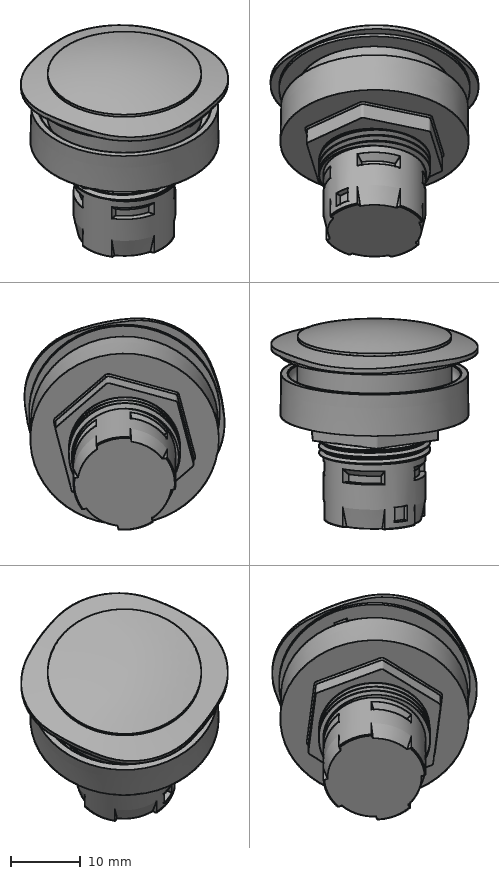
import cadquery as cq
import math

TOTAL_HEIGHT = 28.34
CAP_RIM_TOP_Z = 26.88
CAP_RIM_BOTTOM_Z = 26.48
BEZEL_CONE_TOP_Z = 26.37
BEZEL_EDGE_BOTTOM_Z = 24.85
BEZEL_DISC_BOTTOM_Z = 24.38
RING_TOP_Z = 21.35
RING_SEAM_Z = 19.36
RING_BOTTOM_Z = 15.3
HEX_BOTTOM_Z = 12.7
THREAD_BOTTOM_Z = 9.74

CAP_RADIUS = 22.05 / 2
CAP_STEM_RADIUS = 20.62 / 2

BEZEL_HALF_WIDTH = 28.0 / 2
BEZEL_SIDE_RADIUS = 30.0
BEZEL_CORNER_RADIUS = 11.0
BEZEL_CONE_ANGLE = 10.5
BEZEL_DISC_RADIUS = 27.4 / 2

NECK_RADIUS = 22.2 / 2
TAB_REACH = 12.1
TAB_WIDTH = 2.0
TAB_TOP_Z = 24.13
TAB_BOTTOM_Z = 22.64
RING_RADIUS = 26.86 / 2
RING_BASE_RADIUS = 27.06 / 2
RING_BORE_RADIUS = 25.0 / 2
RING_BORE_CHAMFER = 0.12
RING_GAP_DEPTH = 1.85
RING_GAP_FILLET = 1.15

HEX_ACROSS_FLATS = 18.0
HEX_CORNER_RADIUS = 0.5
HEX_FLARE = 0.25

BARREL_RADIUS = 14.7 / 2
BARREL_CHAMFER = 0.15
THREAD_RADIUS = 16.0 / 2
THREAD_PITCH = 1.0
THREAD_CREST = 0.125
THREAD_ROOT_WIDTH = 0.875
THREAD_CREST_Z = 10.5
THREAD_OVERLAP = 0.05
THREAD_CLIP_MARGIN = 1.0

POCKET_WALL = 2.53
POCKET_FLOOR_RADIUS = 6.45
WINDOW_TOP_Z = 8.63
WINDOW_BOTTOM_Z = 6.65
NOTCH_TOP_Z = 2.98
NOTCH_BOTTOM_RADIUS = 6.73

KEY_WIDTH = 2.14
KEY_TOP_Z = 3.2
KEY_BOTTOM_Z = 0.98


def cylinder(radius, bottom_z, top_z):
    return cq.Workplane("XY").workplane(offset=bottom_z).circle(radius).extrude(top_z - bottom_z)


def revolve_about_z(profile):
    return profile.close().revolve(360, (0, 0, 0), (0, 1, 0))


def dome_midpoint():
    """Point of the spherical dome at half the cap radius."""
    rise = TOTAL_HEIGHT - CAP_RIM_TOP_Z
    sphere_radius = (CAP_RADIUS**2 + rise**2) / (2 * rise)
    radius = CAP_RADIUS / 2
    return radius, TOTAL_HEIGHT - sphere_radius + math.sqrt(sphere_radius**2 - radius**2)


def cap():
    dome = revolve_about_z(
        cq.Workplane("XZ")
        .moveTo(0, CAP_RIM_BOTTOM_Z)
        .lineTo(CAP_RADIUS, CAP_RIM_BOTTOM_Z)
        .lineTo(CAP_RADIUS, CAP_RIM_TOP_Z)
        .threePointArc(dome_midpoint(), (0, TOTAL_HEIGHT))
    )
    return dome.union(cylinder(CAP_STEM_RADIUS, BEZEL_EDGE_BOTTOM_Z, CAP_RIM_BOTTOM_Z))


def quarter_turn(point, count):
    """Point turned clockwise by a number of quarter turns."""
    x, y = point
    for _ in range(count):
        x, y = y, -x
    return x, y


def bezel_outline():
    """Four side arcs and four corner arcs, tangent to each other."""
    side_offset = BEZEL_SIDE_RADIUS - BEZEL_HALF_WIDTH
    centre_gap = BEZEL_SIDE_RADIUS - BEZEL_CORNER_RADIUS
    corner_centre = (math.sqrt(2 * centre_gap**2 - side_offset**2) - side_offset) / 2
    joint_x = corner_centre * BEZEL_SIDE_RADIUS / centre_gap
    joint_y = math.sqrt(BEZEL_SIDE_RADIUS**2 - joint_x**2) - side_offset
    corner_reach = corner_centre + BEZEL_CORNER_RADIUS / math.sqrt(2)
    outline = cq.Workplane("XY").workplane(offset=BEZEL_EDGE_BOTTOM_Z).moveTo(-joint_x, joint_y)
    for quarter in range(4):
        side_middle, side_end, corner_middle, corner_end = [
            quarter_turn(point, quarter)
            for point in (
                (0, BEZEL_HALF_WIDTH),
                (joint_x, joint_y),
                (corner_reach, corner_reach),
                (joint_y, joint_x),
            )
        ]
        outline = outline.threePointArc(side_middle, side_end).threePointArc(corner_middle, corner_end)
    return outline.close()


def bezel():
    block = bezel_outline().extrude(BEZEL_CONE_TOP_Z - BEZEL_EDGE_BOTTOM_Z)
    cone_foot_radius = BEZEL_HALF_WIDTH * math.sqrt(2)
    cone_drop = (cone_foot_radius - CAP_STEM_RADIUS) * math.tan(math.radians(BEZEL_CONE_ANGLE))
    cone = revolve_about_z(
        cq.Workplane("XZ")
        .moveTo(0, BEZEL_DISC_BOTTOM_Z)
        .lineTo(cone_foot_radius, BEZEL_DISC_BOTTOM_Z)
        .lineTo(cone_foot_radius, BEZEL_CONE_TOP_Z - cone_drop)
        .lineTo(CAP_STEM_RADIUS, BEZEL_CONE_TOP_Z)
        .lineTo(0, BEZEL_CONE_TOP_Z)
    )
    disc = cylinder(BEZEL_DISC_RADIUS, BEZEL_DISC_BOTTOM_Z, BEZEL_EDGE_BOTTOM_Z)
    return block.intersect(cone).union(disc)


def neck():
    tab = (
        cq.Workplane("XY")
        .workplane(offset=TAB_BOTTOM_Z)
        .center(TAB_REACH / 2, 0)
        .rect(TAB_REACH, TAB_WIDTH)
        .extrude(TAB_TOP_Z - TAB_BOTTOM_Z)
    )
    return cylinder(NECK_RADIUS, RING_BOTTOM_Z, BEZEL_DISC_BOTTOM_Z).union(tab)


def ring():
    """Tapered skirt below a straight band, with a round-bottomed gap around the neck."""
    wall_radius = RING_BORE_RADIUS - RING_BORE_CHAMFER
    gap_floor_z = RING_TOP_Z - RING_GAP_DEPTH
    return revolve_about_z(
        cq.Workplane("XZ")
        .moveTo(0, RING_BOTTOM_Z)
        .lineTo(RING_BASE_RADIUS, RING_BOTTOM_Z)
        .lineTo(RING_RADIUS, RING_SEAM_Z)
        .lineTo(RING_RADIUS, RING_TOP_Z)
        .lineTo(RING_BORE_RADIUS, RING_TOP_Z)
        .lineTo(wall_radius, RING_TOP_Z - RING_BORE_CHAMFER)
        .lineTo(wall_radius, gap_floor_z + RING_GAP_FILLET)
        .radiusArc((wall_radius - RING_GAP_FILLET, gap_floor_z), RING_GAP_FILLET)
        .lineTo(0, gap_floor_z)
    )


def rounded_hexagon(across_flats, corner_radius, bottom_z, top_z):
    """Hexagonal prism with flats facing +X and -X."""
    across_corners = across_flats / math.cos(math.radians(30))
    return (
        cq.Workplane("XY")
        .workplane(offset=bottom_z)
        .transformed(rotate=(0, 0, 30))
        .polygon(6, across_corners)
        .extrude(top_z - bottom_z)
        .edges("|Z")
        .fillet(corner_radius)
    )


def hexagon():
    """Hexagon with a 45 degree flare that widens it just below the ring."""
    wide_hexagon = rounded_hexagon(
        HEX_ACROSS_FLATS + 2 * HEX_FLARE,
        HEX_CORNER_RADIUS + HEX_FLARE,
        RING_BOTTOM_Z - HEX_FLARE,
        RING_BOTTOM_Z + HEX_FLARE,
    )
    flare = wide_hexagon.faces("<Z").chamfer(HEX_FLARE)
    return rounded_hexagon(HEX_ACROSS_FLATS, HEX_CORNER_RADIUS, HEX_BOTTOM_Z, RING_BOTTOM_Z).union(flare)


def thread():
    """Helical ridge, cut flat at the barrel shoulder and at the hexagon."""
    start_z = THREAD_CREST_Z - 2 * THREAD_PITCH
    length = HEX_BOTTOM_Z + THREAD_PITCH - start_z
    inner_radius = BARREL_RADIUS - THREAD_OVERLAP
    flank_slope = (THREAD_ROOT_WIDTH - THREAD_CREST) / 2 / (THREAD_RADIUS - BARREL_RADIUS)
    half_base = THREAD_ROOT_WIDTH / 2 + THREAD_OVERLAP * flank_slope
    half_crest = THREAD_CREST / 2
    helix = cq.Wire.makeHelix(THREAD_PITCH, length, inner_radius).translate(cq.Vector(0, 0, start_z))
    ridge = (
        cq.Workplane("XZ")
        .moveTo(inner_radius, start_z - half_base)
        .lineTo(THREAD_RADIUS, start_z - half_crest)
        .lineTo(THREAD_RADIUS, start_z + half_crest)
        .lineTo(inner_radius, start_z + half_base)
        .close()
        .sweep(cq.Workplane(helix), isFrenet=True)
    )
    return ridge.intersect(cylinder(THREAD_RADIUS + THREAD_CLIP_MARGIN, THREAD_BOTTOM_Z, HEX_BOTTOM_Z))


def corner_block(bottom_z, top_z):
    """Square block beyond the two pocket walls in the +X +Y corner."""
    return (
        cq.Workplane("XY")
        .workplane(offset=bottom_z)
        .moveTo(POCKET_WALL, POCKET_WALL)
        .rect(BARREL_RADIUS, BARREL_RADIUS, centered=False)
        .extrude(top_z - bottom_z)
    )


def window():
    """Pocket with a cylindrical floor and a ceiling that slopes down inwards at 45 degrees."""
    ceiling_drop = BARREL_RADIUS - POCKET_FLOOR_RADIUS
    core = revolve_about_z(
        cq.Workplane("XZ")
        .moveTo(0, WINDOW_BOTTOM_Z)
        .lineTo(POCKET_FLOOR_RADIUS, WINDOW_BOTTOM_Z)
        .lineTo(POCKET_FLOOR_RADIUS, WINDOW_TOP_Z - ceiling_drop)
        .lineTo(BARREL_RADIUS, WINDOW_TOP_Z)
        .lineTo(0, WINDOW_TOP_Z)
    )
    return corner_block(WINDOW_BOTTOM_Z, WINDOW_TOP_Z).cut(core)


def notch():
    """Pocket open at the bottom, with a conical floor that narrows downwards."""
    core = revolve_about_z(
        cq.Workplane("XZ")
        .lineTo(NOTCH_BOTTOM_RADIUS, 0)
        .lineTo(BARREL_RADIUS, NOTCH_TOP_Z)
        .lineTo(0, NOTCH_TOP_Z)
    )
    return corner_block(0, NOTCH_TOP_Z).cut(core)


def keyhole():
    block = (
        cq.Workplane("XY")
        .workplane(offset=KEY_BOTTOM_Z)
        .center(-BARREL_RADIUS, 0)
        .rect(BARREL_RADIUS, KEY_WIDTH)
        .extrude(KEY_TOP_Z - KEY_BOTTOM_Z)
    )
    return block.cut(cylinder(POCKET_FLOOR_RADIUS, KEY_BOTTOM_Z, KEY_TOP_Z))


def barrel():
    body = cylinder(BARREL_RADIUS, 0, HEX_BOTTOM_Z).faces("<Z").chamfer(BARREL_CHAMFER)
    pockets = window().union(notch())
    for quarter in range(4):
        body = body.cut(pockets.rotate((0, 0, 0), (0, 0, 1), 90 * quarter))
    return body.cut(keyhole())


result = barrel().union(thread())
for section in (hexagon(), ring(), neck(), bezel(), cap()):
    result = result.union(section)